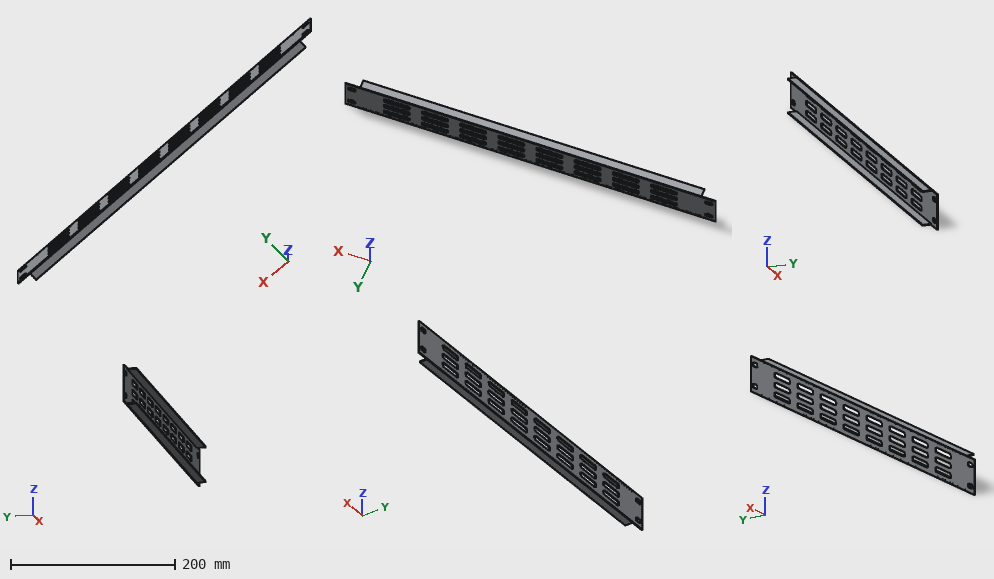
import cadquery as cq

panel_length = 482.0
panel_height = 45.5
sheet_thickness = 1.5

flange_length = 444.0
panel_depth = 12.5
flange_inset = 0.2

vent_columns = 8
vent_rows = 3
vent_pitch_x = 49.5
vent_pitch_z = 12.5
vent_length = 34.0
vent_height = 6.5

mount_columns = 2
mount_rows = 2
mount_spacing_x = 464.5
mount_spacing_z = 27.5
mount_length = 10.0
mount_height = 5.5


def slot_grid(pitch_x, pitch_z, columns, rows, length, height):
    """Centred grid of round-ended slots, cutting through the face plate."""
    return (
        cq.Workplane("XZ")
        .rarray(pitch_x, pitch_z, columns, rows)
        .slot2D(length, height)
        .extrude(sheet_thickness)
    )


def flange(side):
    """Flange along the top (side = 1) or bottom (side = -1) edge."""
    center_z = side * (panel_height / 2 - flange_inset - sheet_thickness / 2)
    return (
        cq.Workplane("XZ")
        .center(0, center_z)
        .rect(flange_length, sheet_thickness)
        .extrude(panel_depth)
    )


face_plate = cq.Workplane("XZ").rect(panel_length, panel_height).extrude(sheet_thickness)
vents = slot_grid(vent_pitch_x, vent_pitch_z, vent_columns, vent_rows, vent_length, vent_height)
mounts = slot_grid(
    mount_spacing_x, mount_spacing_z, mount_columns, mount_rows, mount_length, mount_height
)

result = face_plate.union(flange(1)).union(flange(-1)).cut(vents).cut(mounts)